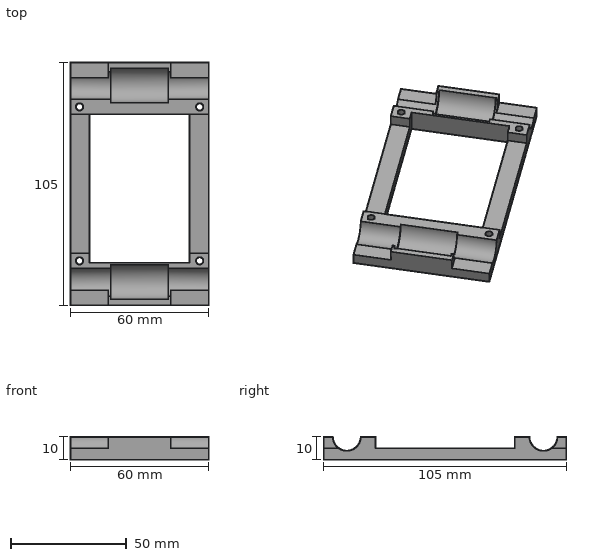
import cadquery as cq

width = 60.0
length = 105.0
height = 10.0
plate_thickness = 5.0

block_depth = 22.5
groove_offset = 10.0
groove_radius = 6.0
pocket_radius = 7.5
pocket_length = 25.0
outer_wall_length = 27.0

window_width = 43.2
window_front_margin = 18.5
window_back_margin = block_depth

hole_diameter = 3.0
hole_side_margin = 4.0
hole_end_margin = 19.2


def box(size_x, y_min, y_max, z_min, z_max):
    """Box centred on X, between the given Y and Z limits."""
    base = cq.Workplane("XY").workplane(offset=z_min).center(0, (y_min + y_max) / 2)
    return base.rect(size_x, y_max - y_min).extrude(z_max - z_min)


def cylinder_along_x(radius, cylinder_length, y, z):
    """Cylinder centred on X with its axis at the given Y and Z."""
    end_face = cq.Workplane("YZ").workplane(offset=-cylinder_length / 2).center(y, z)
    return end_face.circle(radius).extrude(cylinder_length)


def front_block():
    """Front cradle block with a full inner wall and a short outer wall."""
    front = -length / 2
    groove_y = front + groove_offset
    inner_wall = box(width, groove_y, front + block_depth, plate_thickness, height)
    outer_wall = box(outer_wall_length, front, groove_y, plate_thickness, height)
    return inner_wall.union(outer_wall)


def front_cradle_cut():
    """Front groove with its wider central pocket."""
    groove_y = -length / 2 + groove_offset
    groove = cylinder_along_x(groove_radius, width, groove_y, height)
    pocket = cylinder_along_x(pocket_radius, pocket_length, groove_y, height)
    return groove.union(pocket)


body = box(width, -length / 2, length / 2, 0, plate_thickness)

block = front_block()
body = body.union(block).union(block.mirror("XZ"))
cradle_cut = front_cradle_cut()
body = body.cut(cradle_cut).cut(cradle_cut.mirror("XZ"))

window_front = -length / 2 + window_front_margin
window_back = length / 2 - window_back_margin
body = body.cut(box(window_width, window_front, window_back, 0, height))

hole_spacing_x = width - 2 * hole_side_margin
hole_spacing_y = length - 2 * hole_end_margin
holes = (
    cq.Workplane("XY")
    .rect(hole_spacing_x, hole_spacing_y, forConstruction=True)
    .vertices()
    .circle(hole_diameter / 2)
    .extrude(height)
)
result = body.cut(holes)